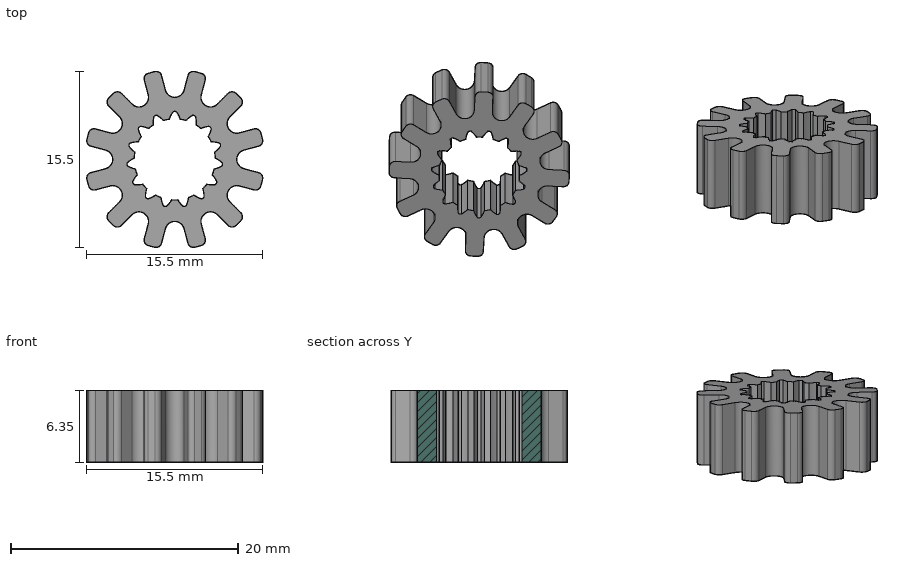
import cadquery as cq
import math

THICKNESS = 6.35
TIP_RADIUS = 15.875 / 2

TOOTH_COUNT = 12
TOOTH_WIDTH = 1.5875
GAP_FLOOR_RADIUS = 5.47
TIP_CORNER_RADIUS = 0.5

GROOVE_COUNT = 15
BORE_RADIUS = 3.56
GROOVE_BOTTOM_RADIUS = 4.22
GROOVE_MOUTH_HALF_WIDTH = 0.478
GROOVE_MIDDLE_HALF_WIDTH = 0.356
GROOVE_MIDDLE_RADIUS = 3.84
GROOVE_END_HALF_WIDTH = 0.16
GROOVE_END_RADIUS = 4.16

FIRST_GROOVE_ANGLE = 90.0
CUT_MARGIN = 1.0


def make_blank():
    """Round disc that reaches to the tooth tips."""
    return cq.Workplane("XY").circle(TIP_RADIUS).extrude(THICKNESS)


def make_gap():
    """One tooth gap on the +X axis: a round floor tangent to the flanks of both neighbouring teeth."""
    half_pitch = math.pi / TOOTH_COUNT
    half_width = TOOTH_WIDTH / 2
    sine = math.sin(half_pitch)
    cosine = math.cos(half_pitch)

    floor_center = (GAP_FLOOR_RADIUS - half_width) / (1 - sine)
    floor_radius = floor_center - GAP_FLOOR_RADIUS
    tangent_x = floor_center - floor_radius * sine
    tangent_y = floor_radius * cosine

    flank_length = TIP_RADIUS - GAP_FLOOR_RADIUS + CUT_MARGIN
    mouth_x = tangent_x + flank_length * cosine
    mouth_y = tangent_y + flank_length * sine

    return (
        cq.Workplane("XY")
        .moveTo(mouth_x, -mouth_y)
        .lineTo(tangent_x, -tangent_y)
        .threePointArc((GAP_FLOOR_RADIUS, 0), (tangent_x, tangent_y))
        .lineTo(mouth_x, mouth_y)
        .close()
        .extrude(THICKNESS)
    )


def cut_gaps(body):
    """Cut the ring of gaps, with one gap on each of the X and Y axes."""
    gap = make_gap()
    for index in range(TOOTH_COUNT):
        angle = index * 360 / TOOTH_COUNT
        body = body.cut(gap.rotate((0, 0, 0), (0, 0, 1), angle))
    return body


def round_tooth_tips(body):
    """Round both corners of every tooth tip."""
    corner_radius = TIP_RADIUS - TIP_CORNER_RADIUS
    tip_edges = [
        edge
        for edge in body.edges("|Z").vals()
        if math.hypot(edge.Center().x, edge.Center().y) > corner_radius
    ]
    return body.newObject(tip_edges).fillet(TIP_CORNER_RADIUS)


def groove_point(radius, half_width):
    """Point at a radius from the part axis and a sideways offset from the groove axis (+X)."""
    return math.sqrt(radius**2 - half_width**2), half_width


def make_groove():
    """One spline groove on the +X axis, closed on the part axis."""
    mouth_x, mouth_y = groove_point(BORE_RADIUS, GROOVE_MOUTH_HALF_WIDTH)
    middle_x, middle_y = groove_point(GROOVE_MIDDLE_RADIUS, GROOVE_MIDDLE_HALF_WIDTH)
    end_x, end_y = groove_point(GROOVE_END_RADIUS, GROOVE_END_HALF_WIDTH)

    return (
        cq.Workplane("XY")
        .moveTo(0, 0)
        .lineTo(mouth_x, -mouth_y)
        .threePointArc((middle_x, -middle_y), (end_x, -end_y))
        .threePointArc((GROOVE_BOTTOM_RADIUS, 0), (end_x, end_y))
        .threePointArc((middle_x, middle_y), (mouth_x, mouth_y))
        .close()
        .extrude(THICKNESS)
    )


def cut_splined_bore(body):
    """Cut the round bore and its ring of spline grooves through the part."""
    body = body.cut(cq.Workplane("XY").circle(BORE_RADIUS).extrude(THICKNESS))
    groove = make_groove()
    for index in range(GROOVE_COUNT):
        angle = FIRST_GROOVE_ANGLE + index * 360 / GROOVE_COUNT
        body = body.cut(groove.rotate((0, 0, 0), (0, 0, 1), angle))
    return body


toothed_disc = round_tooth_tips(cut_gaps(make_blank()))
result = cut_splined_bore(toothed_disc)